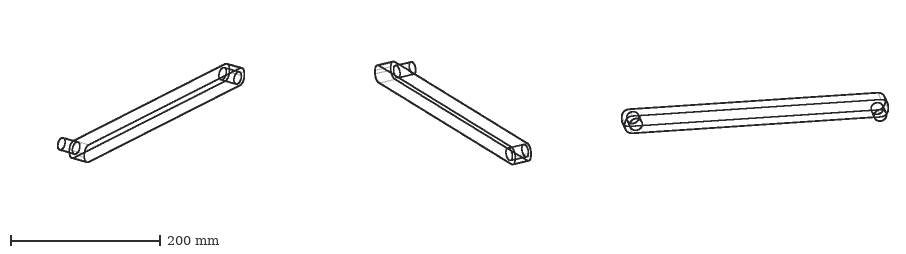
import cadquery as cq

bar_length = 358.5
bar_width = 25.0
bar_height = 25.0
corner_radius = 10.0

overall_width = 50.0
pin_length = overall_width - bar_width
pin_diameter = 17.0
hole_diameter = 17.0
end_inset = 15.0
pin_y = -bar_length / 2 + end_inset
hole_y = bar_length / 2 - end_inset

bar = (
    cq.Workplane("YZ")
    .rect(bar_length, bar_height)
    .extrude(bar_width)
    .edges("|X")
    .fillet(corner_radius)
)

pin = cq.Workplane("YZ").center(pin_y, 0).circle(pin_diameter / 2).extrude(-pin_length)

hole = cq.Workplane("YZ").center(hole_y, 0).circle(hole_diameter / 2).extrude(bar_width)

result = bar.union(pin).cut(hole)